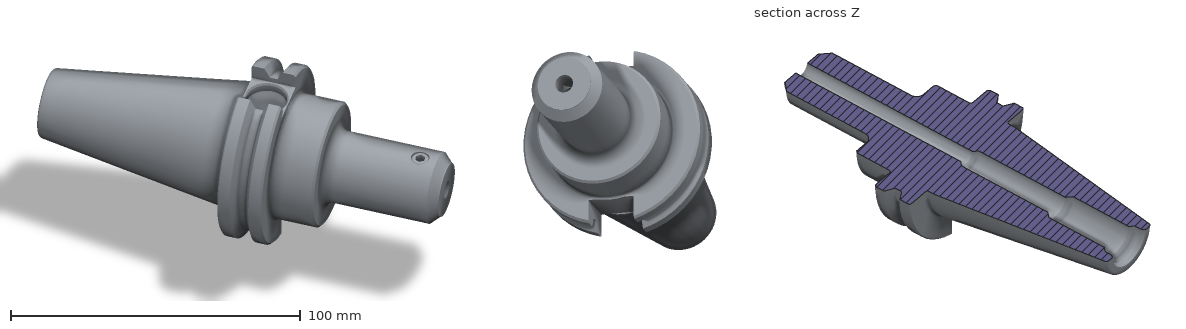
import cadquery as cq
import math


GAUGE_DIAMETER = 44.45
TAPER_LENGTH = 68.25
TAPER_RATIO = 7 / 24
TAPER_END_RADIUS = 1.2

FLANGE_START = 3.175
FLANGE_WIDTH = 15.875
FLANGE_DIAMETER = 63.5
FLANGE_REAR_CHAMFER = 0.5
FLANGE_FRONT_CHAMFER = 0.8
GROOVE_DIAMETER = 56.36
GROOVE_FLOOR_WIDTH = 2.7
GROOVE_WALL_ANGLE = 30.0
FLANGE_ROOT_RADIUS = 0.79

COLLAR_END = 34.925
COLLAR_CHAMFER = 0.8
NOSE_DIAMETER = 25.4
NOSE_ROOT_RADIUS = 3.175
NOSE_CHAMFER = 3.175
NOSE_LAND = 0.3
OVERALL_LENGTH = 144.46

SLOT_WIDTH = 16.26
TOP_SLOT_FLOOR = 25.0
BOTTOM_SLOT_FLOOR = 22.5
DIMPLE_DIAMETER = 14.3
DIMPLE_MOUTH_DIAMETER = 15.2
DIMPLE_MOUTH_ANGLE = 60.0
DIMPLE_WALL_DEPTH = 3.3
DIMPLE_POINT_ANGLE = 140.0

PILOT_DIAMETER = 16.46
PILOT_DEPTH = 4.0
MOUTH_DIAMETER = 18.06
MOUTH_CONE_ANGLE = 60.0
THREAD_DIAMETER = 13.39
THREAD_DEPTH = 30.0
CLEARANCE_DIAMETER = 9.53
CLEARANCE_DEPTH = 70.0
TOOL_DIAMETER = 6.35
STEP_CONE_ANGLE = 90.0

SCREW_DIAMETER = 6.35
SCREW_FROM_NOSE = 9.525
SCREW_TOP = 12.3
SCREW_FACE_DIAMETER = 5.36
SOCKET_ACROSS_FLATS = 3.175
SOCKET_DEPTH = 3.0
SOCKET_TURN = 9.0

gauge_radius = GAUGE_DIAMETER / 2
flange_radius = FLANGE_DIAMETER / 2
nose_radius = NOSE_DIAMETER / 2
rear = -TAPER_LENGTH
nose_end = rear + OVERALL_LENGTH
flange_end = FLANGE_START + FLANGE_WIDTH
flange_middle = FLANGE_START + FLANGE_WIDTH / 2
screw_x = nose_end - SCREW_FROM_NOSE


def cone_length(large_diameter, small_diameter, point_angle):
    """Axial length of a cone between two diameters, given its full point angle."""
    return (large_diameter - small_diameter) / 2 / math.tan(math.radians(point_angle / 2))


def make_blank():
    """Turned outside of the holder: taper with a rounded small end, grooved flange, collar and nose."""
    taper_slope = TAPER_RATIO / 2
    rear_radius = gauge_radius - TAPER_LENGTH * taper_slope
    taper_angle = math.atan(taper_slope)
    end_radius = TAPER_END_RADIUS
    arc_center_y = rear_radius + end_radius * (taper_slope - 1 / math.cos(taper_angle))

    def end_arc_point(angle):
        return (
            rear + end_radius * (1 - math.sin(angle)),
            arc_center_y + end_radius * math.cos(angle),
        )

    arc_middle = (math.pi / 2 + taper_angle) / 2
    groove_radius = GROOVE_DIAMETER / 2
    groove_floor_half = GROOVE_FLOOR_WIDTH / 2
    groove_wall_run = (flange_radius - groove_radius) * math.tan(math.radians(GROOVE_WALL_ANGLE))
    groove_top_half = groove_floor_half + groove_wall_run
    arc_setback = 1 - math.sqrt(0.5)
    root = FLANGE_ROOT_RADIUS
    nose_root = NOSE_ROOT_RADIUS
    return (
        cq.Workplane("XY")
        .moveTo(rear, 0)
        .lineTo(rear, arc_center_y)
        .threePointArc(
            end_arc_point(arc_middle),
            end_arc_point(taper_angle),
        )
        .lineTo(0, gauge_radius)
        .lineTo(FLANGE_START - root, gauge_radius)
        .threePointArc(
            (FLANGE_START - root * arc_setback, gauge_radius + root * arc_setback),
            (FLANGE_START, gauge_radius + root),
        )
        .lineTo(FLANGE_START, flange_radius - FLANGE_REAR_CHAMFER)
        .lineTo(FLANGE_START + FLANGE_REAR_CHAMFER, flange_radius)
        .lineTo(flange_middle - groove_top_half, flange_radius)
        .lineTo(flange_middle - groove_floor_half, groove_radius)
        .lineTo(flange_middle + groove_floor_half, groove_radius)
        .lineTo(flange_middle + groove_top_half, flange_radius)
        .lineTo(flange_end - FLANGE_FRONT_CHAMFER, flange_radius)
        .lineTo(flange_end, flange_radius - FLANGE_FRONT_CHAMFER)
        .lineTo(flange_end, gauge_radius + root)
        .threePointArc(
            (flange_end + root * arc_setback, gauge_radius + root * arc_setback),
            (flange_end + root, gauge_radius),
        )
        .lineTo(COLLAR_END - COLLAR_CHAMFER, gauge_radius)
        .lineTo(COLLAR_END, gauge_radius - COLLAR_CHAMFER)
        .lineTo(COLLAR_END, nose_radius + nose_root)
        .threePointArc(
            (COLLAR_END + nose_root * arc_setback, nose_radius + nose_root * arc_setback),
            (COLLAR_END + nose_root, nose_radius),
        )
        .lineTo(nose_end - NOSE_LAND - NOSE_CHAMFER, nose_radius)
        .lineTo(nose_end - NOSE_LAND, nose_radius - NOSE_CHAMFER)
        .lineTo(nose_end, nose_radius - NOSE_CHAMFER)
        .lineTo(nose_end, 0)
        .close()
        .revolve(360, (0, 0, 0), (1, 0, 0))
    )


def make_bore():
    """Stepped bore: knob pilot, thread hole, clearance hole and tool hole out of the nose."""
    mouth_end = rear + cone_length(MOUTH_DIAMETER, PILOT_DIAMETER, MOUTH_CONE_ANGLE)
    pilot_end = rear + PILOT_DEPTH
    pilot_cone_end = pilot_end + cone_length(PILOT_DIAMETER, THREAD_DIAMETER, STEP_CONE_ANGLE)
    thread_end = rear + THREAD_DEPTH
    thread_point_end = thread_end + cone_length(THREAD_DIAMETER, CLEARANCE_DIAMETER, STEP_CONE_ANGLE)
    clearance_end = rear + CLEARANCE_DEPTH
    clearance_point_end = clearance_end + cone_length(CLEARANCE_DIAMETER, TOOL_DIAMETER, STEP_CONE_ANGLE)
    return (
        cq.Workplane("XY")
        .moveTo(rear, 0)
        .lineTo(rear, MOUTH_DIAMETER / 2)
        .lineTo(mouth_end, PILOT_DIAMETER / 2)
        .lineTo(pilot_end, PILOT_DIAMETER / 2)
        .lineTo(pilot_cone_end, THREAD_DIAMETER / 2)
        .lineTo(thread_end, THREAD_DIAMETER / 2)
        .lineTo(thread_point_end, CLEARANCE_DIAMETER / 2)
        .lineTo(clearance_end, CLEARANCE_DIAMETER / 2)
        .lineTo(clearance_point_end, TOOL_DIAMETER / 2)
        .lineTo(nose_end, TOOL_DIAMETER / 2)
        .lineTo(nose_end, 0)
        .close()
        .revolve(360, (0, 0, 0), (1, 0, 0))
    )


def make_drive_slot(floor, side):
    """Box that cuts one drive slot across the flange; side is +1 for the top, -1 for the bottom."""
    depth = flange_radius - floor
    return cq.Workplane("XY").box(FLANGE_WIDTH, SLOT_WIDTH, depth).translate(
        (flange_middle, 0, side * (floor + depth / 2))
    )


def make_dimple():
    """Drilled dimple in the floor of the top slot, with a countersunk mouth and a conical bottom."""
    radius = DIMPLE_DIAMETER / 2
    mouth_depth = cone_length(DIMPLE_MOUTH_DIAMETER, DIMPLE_DIAMETER, DIMPLE_MOUTH_ANGLE)
    wall_bottom = TOP_SLOT_FLOOR - DIMPLE_WALL_DEPTH
    point = wall_bottom - cone_length(DIMPLE_DIAMETER, 0, DIMPLE_POINT_ANGLE)
    return (
        cq.Workplane("XZ")
        .moveTo(0, TOP_SLOT_FLOOR)
        .lineTo(DIMPLE_MOUTH_DIAMETER / 2, TOP_SLOT_FLOOR)
        .lineTo(radius, TOP_SLOT_FLOOR - mouth_depth)
        .lineTo(radius, wall_bottom)
        .lineTo(0, point)
        .close()
        .revolve(360, (0, 0, 0), (0, 1, 0))
        .translate((flange_middle, 0, 0))
    )


def make_screw_hole():
    """Radial hole from the bore axis out through the top of the nose."""
    return cq.Workplane("XY").center(screw_x, 0).circle(SCREW_DIAMETER / 2).extrude(nose_radius)


def make_holder():
    return (
        make_blank()
        .cut(make_bore())
        .cut(make_drive_slot(TOP_SLOT_FLOOR, 1))
        .cut(make_drive_slot(BOTTOM_SLOT_FLOOR, -1))
        .cut(make_dimple())
        .cut(make_screw_hole())
    )


def make_set_screw():
    """Set screw with a hexagon socket; its inner end is flush with the wall of the tool hole."""
    tool_radius = TOOL_DIAMETER / 2
    return (
        cq.Workplane("XY", origin=(screw_x, 0, tool_radius))
        .circle(SCREW_DIAMETER / 2)
        .extrude(SCREW_TOP - tool_radius)
        .faces(">Z")
        .chamfer((SCREW_DIAMETER - SCREW_FACE_DIAMETER) / 2)
        .faces(">Z")
        .workplane()
        .transformed(rotate=(0, 0, 90 + SOCKET_TURN))
        .polygon(6, SOCKET_ACROSS_FLATS / math.cos(math.pi / 6))
        .cutBlind(-SOCKET_DEPTH)
    )


holder = make_holder()
set_screw = make_set_screw()
result = cq.Compound.makeCompound([holder.val(), set_screw.val()])